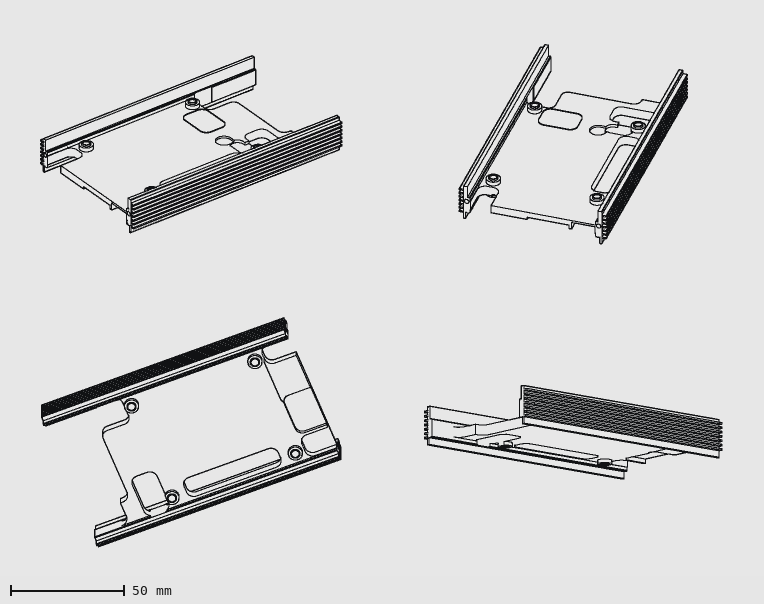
import cadquery as cq

length = 114.9
width = 68.0
height = 17.2
half_length = length / 2
front_y = -half_length

fin_length = 2.0
fin_thickness = 0.7
fin_pitch = 2.0
fin_count = 7
lowest_fin_z = 3.5
wall_outer_x = width / 2 - fin_length
wall_inner_x = 30.2
lip_inner_x = 31.0
rail_inner_x = 29.1
rail_bottom_z = 3.2
rail_top_z = 11.5
edge_chamfer = 0.2
ledge_chamfer = 0.3
screw_hole_x = 30.6
screw_hole_z = 9.3
screw_hole_diameter = 2.1
screw_hole_depth = 11.5

plate_bottom_z = 4.9
plate_top_z = 9.5
plate_thickness = plate_top_z - plate_bottom_z
plate_left_x = -16.4
plate_back_y = 36.4
tab_left_x = 18.5
tab_back_y = 41.0
corner_radius = 3.5
back_corner_radius = 3.0

back_notch_left_x = -29.4
back_notch_relief_y = 33.2
back_notch_floor_y = 22.0
front_notch_left_x = -28.8
front_notch_right_x = -19.3
front_notch_back_y = -43.9
window_left_x = 9.1
window_right_x = 29.4
window_front_y = 21.1
window_back_y = 32.9
slot_left_x = 18.2
slot_right_x = 27.8
slot_front_y = -32.6
slot_back_y = 12.0

pad_left_x = -20.1
pad_right_x = -2.1
pad_front_y = 9.1
pad_back_y = 22.0
pad_depth = 0.3
round_recess_x = 7.5
round_recess_y = 12.4
round_recess_diameter = 7.6
round_recess_depth = 0.9
obround_left_x = 9.9
obround_right_x = 22.2
obround_front_y = 12.2
obround_back_y = 18.8
neck_left_x = 14.2
neck_right_x = 20.9
obround_depth = 1.4

wide_left_x = -24.6
wide_right_x = 0.9
wide_back_y = -43.2
wide_depth = 0.7
middle_left_x = -2.5
middle_right_x = 16.8
middle_depth = 1.8
side_left_x = 18.0
side_right_x = 28.8
side_depth = 3.6

bushing_x = 24.0
bushing_ys = (-39.8, 18.7)
bushing_diameter = 6.3
bushing_top_z = 11.5
bushing_bottom_z = 3.3
collar_diameter = 4.1
collar_height = 0.8
lower_collar_height = 0.3
bore_diameter = 3.3


def block(x0, x1, y0, y1, z0, z1):
    """Box given by its limits along each axis."""
    return cq.Workplane("XY").box(x1 - x0, y1 - y0, z1 - z0, centered=False).translate((x0, y0, z0))


def rounded_block(x0, x1, y0, y1, z0, z1, radius):
    """Box with rounded vertical edges."""
    return block(x0, x1, y0, y1, z0, z1).edges("|Z").fillet(radius)


def upright_cylinder(x, y, diameter, z0, z1):
    """Vertical cylinder between two heights."""
    return cq.Workplane("XY", origin=(x, y, z0)).circle(diameter / 2).extrude(z1 - z0)


def make_rail():
    """Right-hand rail: stepped wall with chamfered edges and outer fins."""
    c = edge_chamfer
    profile = [
        (wall_outer_x, c),
        (wall_outer_x, height - c),
        (wall_outer_x - c, height),
        (wall_inner_x, height),
        (wall_inner_x, rail_top_z),
        (rail_inner_x + ledge_chamfer, rail_top_z),
        (rail_inner_x, rail_top_z - ledge_chamfer),
        (rail_inner_x, rail_bottom_z + ledge_chamfer),
        (rail_inner_x + ledge_chamfer, rail_bottom_z),
        (lip_inner_x, rail_bottom_z),
        (lip_inner_x, c),
        (lip_inner_x + c, 0),
        (wall_outer_x - c, 0),
    ]
    rail = cq.Workplane("XZ", origin=(0, half_length, 0)).polyline(profile).close().extrude(length)
    fin_root_x = wall_outer_x - edge_chamfer
    for i in range(fin_count):
        z0 = lowest_fin_z + i * fin_pitch - fin_thickness / 2
        rail = rail.union(block(fin_root_x, width / 2, front_y, half_length, z0, z0 + fin_thickness))
    return rail


def make_screw_hole():
    """Blind hole running back from the front end of the right-hand rail."""
    start = cq.Workplane("XZ", origin=(screw_hole_x, front_y, screw_hole_z))
    return start.circle(screw_hole_diameter / 2).extrude(-screw_hole_depth)


def make_plate():
    """Plate between the rails, with its stepped and rounded back edge."""
    r = corner_radius
    outline = (
        cq.Workplane("XY", origin=(0, 0, plate_bottom_z))
        .moveTo(-wall_inner_x, front_y)
        .lineTo(wall_inner_x, front_y)
        .lineTo(wall_inner_x, tab_back_y + r)
        .lineTo(rail_inner_x, tab_back_y + r)
        .radiusArc((rail_inner_x - r, tab_back_y), r)
        .lineTo(tab_left_x, tab_back_y)
        .lineTo(tab_left_x, plate_back_y + r)
        .radiusArc((tab_left_x - r, plate_back_y), r)
        .lineTo(plate_left_x + back_corner_radius, plate_back_y)
        .radiusArc((plate_left_x, plate_back_y - back_corner_radius), -back_corner_radius)
        .lineTo(plate_left_x, back_notch_relief_y)
        .lineTo(-wall_inner_x, back_notch_relief_y)
        .close()
    )
    return outline.extrude(plate_thickness)


def front_opening(x0, x1, back_y, top_z):
    """Cutter from the plate underside up to top_z, open at the front, with rounded back corners."""
    cutter = block(x0, x1, front_y, back_y, plate_bottom_z, top_z)
    return cutter.edges("|Z and >Y").fillet(corner_radius)


def cut_through_openings(body):
    """Window, long slot and two left-hand notches; the window and the back notch also graze the rails."""
    r = corner_radius
    window = rounded_block(window_left_x, window_right_x, window_front_y, window_back_y, 0, height, r)
    slot = rounded_block(slot_left_x, slot_right_x, slot_front_y, slot_back_y, 0, height, r)
    back_notch = block(back_notch_left_x, plate_left_x, back_notch_floor_y, back_notch_relief_y, 0, height)
    back_notch = back_notch.edges("|Z and <Y").fillet(back_corner_radius)
    front_notch = front_opening(front_notch_left_x, front_notch_right_x, front_notch_back_y, height)
    return body.cut(window).cut(slot).cut(back_notch).cut(front_notch)


def cut_top_recesses(body):
    """Shallow pad, round recess with its side channel, and the deeper recess that opens into the window."""
    z1 = plate_top_z
    pad = rounded_block(pad_left_x, pad_right_x, pad_front_y, pad_back_y, z1 - pad_depth, z1, corner_radius)
    round_recess = upright_cylinder(
        round_recess_x, round_recess_y, round_recess_diameter, z1 - round_recess_depth, z1
    )
    channel_right_x = round_recess_x + round_recess_diameter / 2
    channel_back_y = round_recess_y + round_recess_diameter / 2
    channel = block(
        round_recess_x, channel_right_x, round_recess_y, channel_back_y, z1 - round_recess_depth, z1
    )
    obround_z = z1 - obround_depth
    obround_centre = ((obround_left_x + obround_right_x) / 2, (obround_front_y + obround_back_y) / 2)
    obround_length = obround_right_x - obround_left_x
    obround_width = obround_back_y - obround_front_y
    obround = cq.Workplane("XY", origin=(*obround_centre, obround_z))
    obround = obround.slot2D(obround_length, obround_width).extrude(obround_depth)
    neck = block(neck_left_x, neck_right_x, obround_centre[1], window_front_y, obround_z, z1)
    return body.cut(pad).cut(round_recess).cut(channel).cut(obround).cut(neck)


def cut_under_recesses(body):
    """Three recesses of different depth along the front of the underside."""
    recesses = (
        (wide_left_x, wide_right_x, wide_back_y, wide_depth),
        (middle_left_x, middle_right_x, front_notch_back_y, middle_depth),
        (side_left_x, side_right_x, front_notch_back_y, side_depth),
    )
    for left_x, right_x, back_y, depth in recesses:
        body = body.cut(front_opening(left_x, right_x, back_y, plate_bottom_z + depth))
    return body


def add_bushings(body):
    """Round bushings with a narrower collar at each end and a through bore."""
    bore_bottom_z = bushing_bottom_z - lower_collar_height
    bore_top_z = bushing_top_z + collar_height
    for x in (-bushing_x, bushing_x):
        for y in bushing_ys:
            body = body.union(upright_cylinder(x, y, bushing_diameter, bushing_bottom_z, bushing_top_z))
            body = body.union(upright_cylinder(x, y, collar_diameter, bore_bottom_z, bore_top_z))
            body = body.cut(upright_cylinder(x, y, bore_diameter, bore_bottom_z, bore_top_z))
    return body


def both_sides(shape):
    """The shape together with its mirror image across the middle plane."""
    return shape.union(shape.mirror("YZ"))


body = make_plate().union(both_sides(make_rail()))
body = cut_top_recesses(body)
body = cut_under_recesses(body)
body = add_bushings(body)
body = cut_through_openings(body)
result = body.cut(both_sides(make_screw_hole()))